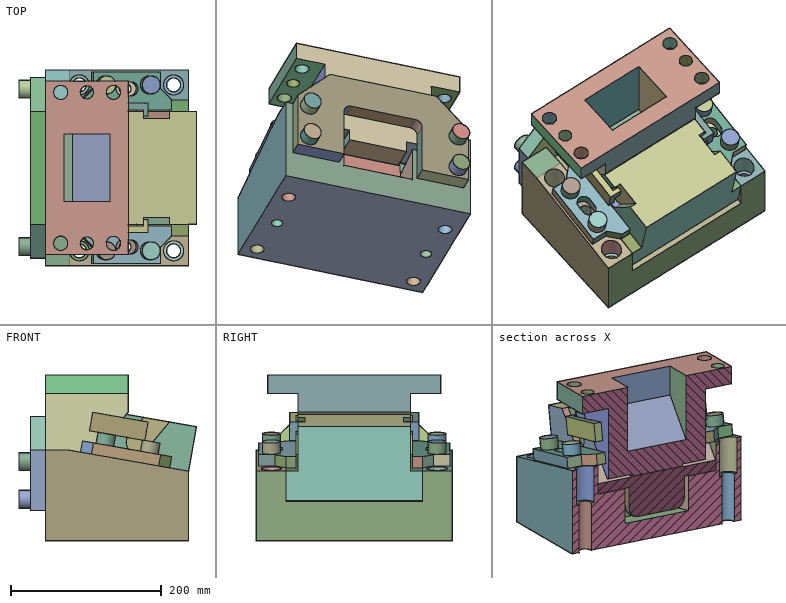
import cadquery as cq
import math


SLOPE = math.radians(10)
SLANT = math.radians(40)
CLEAR = 26.0

BASE_LENGTH = 190.0
BASE_WIDTH = 260.0
BASE_HEIGHT = 120.0
DECK_START = 32.0
GUIDE_WIDTH = 149.8
GROOVE_DEPTH = 39.5
WELL_WIDTH = 96.7
WELL_DEPTH = 88.0
WELL_END = 65.0

MOUNT_X = 45.0
MOUNT_PITCH = 125.0
MOUNT_Y = 110.0
MOUNT_RADIUS = 9.0
MOUNT_HEAD_RADIUS = 13.3
MOUNT_HEAD_SEAT_Z = 67.5

PLATE_THICKNESS = 20.0
PLATE_WIDTH = 240.2
PLATE_BOTTOM = 40.0
PLATE_TOP = 165.0
WINDOW_WIDTH = 109.7
WINDOW_FILLET = 10.1
BOLT_RADIUS = 12.0
BOLT_LENGTH = 15.0
BOLT_Y = 104.5
BOLT_HEIGHTS = (55.0, 105.0)

CLAMP_START = 14.8
CLAMP_LENGTH = 120.0
CLAMP_THICKNESS = 15.0
CLAMP_INNER_Y = 77.0
CLAMP_OUTER_Y = 127.0
CLAMP_CHAMFER = 14.8
CLAMP_CHAMFER_Y = 90.2
PIN_RADIUS = 12.0
PIN_HEIGHT = 15.0
PIN_PITCH = 59.8
PIN_Y = 110.0
CLAMP_HOLE_RADIUS = 9.4
CLAMP_HOLE_Y = 104.8
CLAMP_HOLE_LENGTH = 29.5
CLAMP_BORE_RADIUS = 7.5

CARRIER_LENGTH = 110.0
CARRIER_TOP = 220.0
CARRIER_SLANT_TOP = 170.8
CARRIER_BOTTOM = 95.7
HEAD_WIDTH = 229.8
HEAD_THICKNESS = 25.0
TAB_WIDTH = 80.0
TAB_BOTTOM = 80.0
POCKET_START = 25.0
POCKET_END = 85.8
POCKET_WIDTH = 89.5
POCKET_SLANT_TOP = 179.5
HEAD_HOLE_Y = 100.0
HEAD_HOLES = ((20.3, 9.4), (55.0, 8.5), (90.2, 9.4))

ARM_START = 21.5
ARM_LENGTH = 74.5
ARM_LEVEL = 30.0
ARM_HEIGHT = 25.0
ARM_INNER_Y = CLAMP_INNER_Y
ARM_OUTER_Y = 85.8
ARM_PAD_LENGTH = 25.0
HOOK_INNER_Y = 68.6
HOOK_HEIGHT = 12.5
HOOK_TOP_WIDTH = 6.2

SLIDER_END = (BASE_LENGTH - DECK_START) / math.cos(SLOPE)
SLIDER_HEIGHT = 60.0
FLANGE_WIDTH = 2 * CLAMP_CHAMFER_Y
NOSE_Z = 92.0
TONGUE_TOP = 82.0
TONGUE_WIDTH = 85.8
TONGUE_DEPTH = 82.5
TONGUE_LENGTH = 24.0
TONGUE_FILLET = 15.0
SLOT_WIDTH = 30.2
SLOT_DEPTH = 9.4
SLOT_ROUND_AT = 87.0
SLOT_ROUND_LEVEL = 26.0


def deck_point(along, above):
    """X and Z of a place given along the sloped deck and square above it."""
    x = DECK_START + along * math.cos(SLOPE) + above * math.sin(SLOPE)
    z = BASE_HEIGHT - along * math.sin(SLOPE) + above * math.cos(SLOPE)
    return x, z


def slant_x(z):
    """X of the slanted carrier/slider joint at height z."""
    return CARRIER_LENGTH - (CARRIER_SLANT_TOP - z) * math.tan(SLANT)


def slant_along(along, above, new_above):
    """Follow the slant direction from one level above the deck to another."""
    return along + (new_above - above) * math.tan(SLANT - SLOPE)


def deck_place(x, z):
    """Distance along the deck and level above it of a place given by X and Z."""
    dx = x - DECK_START
    dz = z - BASE_HEIGHT
    along = dx * math.cos(SLOPE) - dz * math.sin(SLOPE)
    above = dx * math.sin(SLOPE) + dz * math.cos(SLOPE)
    return along, above


def slant_start(above):
    """Distance along the deck of the slanted joint at a level above the deck."""
    along, known_level = deck_place(CARRIER_LENGTH, CARRIER_SLANT_TOP)
    return slant_along(along, known_level, above)


def side_prism(points, y_from, y_to):
    """A prism with an XZ outline, between two Y values."""
    return cq.Workplane("XZ", origin=(0, y_from, 0)).polyline(points).close().extrude(y_from - y_to)


def centred_prism(points, width):
    return side_prism(points, -width / 2, width / 2)


def deck_box(start, end, low, high, y_from, y_to):
    """A block square to the deck."""
    corners = ((start, low), (end, low), (end, high), (start, high))
    return side_prism([deck_point(*corner) for corner in corners], y_from, y_to)


def deck_plane(above):
    """A plane parallel to the deck: local X along it, local Y across."""
    x, z = deck_point(0, above)
    return cq.Plane(origin=(x, 0, z), xDir=(math.cos(SLOPE), 0, -math.sin(SLOPE)),
                    normal=(math.sin(SLOPE), 0, math.cos(SLOPE)))


def both_sides(shape):
    return shape.union(shape.mirror("XZ"))



def make_block():
    deck_end = deck_point(SLIDER_END, 0)
    outline = [(0, 0), (BASE_LENGTH, 0), deck_end, (DECK_START, BASE_HEIGHT), (0, BASE_HEIGHT)]
    block = centred_prism(outline, BASE_WIDTH)
    front = -DECK_START - CLEAR
    rear = SLIDER_END + CLEAR
    half_flange = FLANGE_WIDTH / 2
    half_well = WELL_WIDTH / 2
    block = block.cut(deck_box(front, rear, -GROOVE_DEPTH, CLEAR, -half_flange, half_flange))
    return block.cut(deck_box(front, WELL_END, -WELL_DEPTH, 0, -half_well, half_well))


def make_mounting_holes():
    places = [(x, y) for x in (MOUNT_X, MOUNT_X + MOUNT_PITCH) for y in (-MOUNT_Y, MOUNT_Y)]
    bores = cq.Workplane("XY").pushPoints(places).circle(MOUNT_RADIUS).extrude(BASE_HEIGHT)
    heads = (
        cq.Workplane("XY", origin=(0, 0, MOUNT_HEAD_SEAT_Z))
        .pushPoints(places)
        .circle(MOUNT_HEAD_RADIUS)
        .extrude(BASE_HEIGHT - MOUNT_HEAD_SEAT_Z)
    )
    return bores.union(heads)


def make_front_plate():
    half = PLATE_WIDTH / 2
    top_half = GUIDE_WIDTH / 2
    outline = [
        (-half, PLATE_BOTTOM), (half, PLATE_BOTTOM), (half, BASE_HEIGHT),
        (top_half, PLATE_TOP), (-top_half, PLATE_TOP), (-half, BASE_HEIGHT),
    ]
    front = cq.Workplane("YZ", origin=(-PLATE_THICKNESS, 0, 0))
    plate = front.polyline(outline).close().extrude(PLATE_THICKNESS)
    window = (
        front.center(0, BASE_HEIGHT / 2)
        .rect(WINDOW_WIDTH, BASE_HEIGHT)
        .extrude(PLATE_THICKNESS)
        .edges("|X and >Z")
        .fillet(WINDOW_FILLET)
    )
    places = [(y, z) for y in (-BOLT_Y, BOLT_Y) for z in BOLT_HEIGHTS]
    bolts = front.pushPoints(places).circle(BOLT_RADIUS).extrude(-BOLT_LENGTH)
    return plate.cut(window).union(bolts)


def make_clamp():
    """The clamp on the +Y side with its two pins."""
    end = CLAMP_START + CLAMP_LENGTH
    chamfer_end_y = CLAMP_CHAMFER_Y + CLAMP_CHAMFER
    outline = [
        (CLAMP_START, CLAMP_INNER_Y), (end, CLAMP_INNER_Y), (end, CLAMP_CHAMFER_Y),
        (end - CLAMP_CHAMFER, chamfer_end_y), (end - CLAMP_CHAMFER, CLAMP_OUTER_Y),
        (CLAMP_START + CLAMP_CHAMFER, CLAMP_OUTER_Y),
        (CLAMP_START + CLAMP_CHAMFER, chamfer_end_y), (CLAMP_START, CLAMP_CHAMFER_Y),
    ]
    plate = cq.Workplane(deck_plane(0)).polyline(outline).close().extrude(CLAMP_THICKNESS)
    middle = CLAMP_START + CLAMP_LENGTH / 2
    places = [(middle + side * PIN_PITCH / 2, PIN_Y) for side in (-1, 1)]
    pins = (
        cq.Workplane(deck_plane(CLAMP_THICKNESS)).pushPoints(places).circle(PIN_RADIUS).extrude(PIN_HEIGHT)
    )
    return plate.union(pins)


def make_clamp_hole():
    """The +Y clamp's long hole, square to the deck, above a vertical bore through the base."""
    middle = CLAMP_START + CLAMP_LENGTH / 2
    hole = (
        cq.Workplane(deck_plane(0))
        .center(middle, CLAMP_HOLE_Y)
        .slot2D(CLAMP_HOLE_LENGTH, 2 * CLAMP_HOLE_RADIUS)
        .extrude(CLAMP_THICKNESS)
    )
    x = deck_point(middle, 0)[0]
    bore = cq.Workplane("XY").center(x, CLAMP_HOLE_Y).circle(CLAMP_BORE_RADIUS).extrude(BASE_HEIGHT)
    return hole.union(bore)


def make_base():
    base = make_block().union(make_front_plate()).union(both_sides(make_clamp()))
    return base.cut(make_mounting_holes()).cut(both_sides(make_clamp_hole()))



def make_carrier_pocket():
    floor_x = POCKET_END - (POCKET_SLANT_TOP - BASE_HEIGHT) * math.tan(SLANT)
    outline = [
        (POCKET_START, BASE_HEIGHT), (floor_x, BASE_HEIGHT), (POCKET_END, POCKET_SLANT_TOP),
        (POCKET_END, CARRIER_TOP), (POCKET_START, CARRIER_TOP),
    ]
    return centred_prism(outline, POCKET_WIDTH)


def make_arm():
    """The +Y arm, parallel to the deck, with a pad to the carrier and a hook into the slider."""
    end = ARM_START + ARM_LENGTH
    top = ARM_LEVEL + ARM_HEIGHT
    side = GUIDE_WIDTH / 2
    arm = deck_box(ARM_START, end, ARM_LEVEL, top, ARM_INNER_Y, ARM_OUTER_Y)
    pad = deck_box(ARM_START, ARM_START + ARM_PAD_LENGTH, ARM_LEVEL, top, side, ARM_INNER_Y)
    low = top - HOOK_HEIGHT
    hook_top = end - HOOK_TOP_WIDTH
    hook_low = slant_along(hook_top, top, low)
    outline = [(hook_low, low), (end, low), (end, top), (hook_top, top)]
    hook = side_prism([deck_point(*point) for point in outline], HOOK_INNER_Y, ARM_INNER_Y)
    return arm.union(pad).union(hook)


def make_carrier():
    head_bottom = CARRIER_TOP - HEAD_THICKNESS
    outline = [
        (0, CARRIER_BOTTOM), (slant_x(CARRIER_BOTTOM), CARRIER_BOTTOM),
        (CARRIER_LENGTH, CARRIER_SLANT_TOP), (CARRIER_LENGTH, head_bottom), (0, head_bottom),
    ]
    neck = centred_prism(outline, GUIDE_WIDTH)
    tab_outline = [
        (0, TAB_BOTTOM), (slant_x(TAB_BOTTOM), TAB_BOTTOM),
        (slant_x(CARRIER_BOTTOM), CARRIER_BOTTOM), (0, CARRIER_BOTTOM),
    ]
    tab = centred_prism(tab_outline, TAB_WIDTH)
    head = (
        cq.Workplane("XY", origin=(CARRIER_LENGTH / 2, 0, head_bottom))
        .rect(CARRIER_LENGTH, HEAD_WIDTH)
        .extrude(HEAD_THICKNESS)
    )
    carrier = neck.union(tab).union(head).cut(make_carrier_pocket())
    for x, radius in HEAD_HOLES:
        places = [(x, -HEAD_HOLE_Y), (x, HEAD_HOLE_Y)]
        holes = cq.Workplane("XY", origin=(0, 0, head_bottom)).pushPoints(places).circle(radius)
        carrier = carrier.cut(holes.extrude(HEAD_THICKNESS))
    return carrier.union(both_sides(make_arm()))



def make_tongue():
    """The rounded tongue under the slider, starting below the lower end of the slanted face."""
    start, level = deck_place(slant_x(TONGUE_TOP), TONGUE_TOP)
    end = start + TONGUE_LENGTH
    nose_x = slant_x(NOSE_Z)
    corners = [(start, -TONGUE_DEPTH), (end, -TONGUE_DEPTH), (end, level)]
    outline = [deck_point(*corner) for corner in corners]
    outline += [(nose_x, NOSE_Z), (slant_x(TONGUE_TOP), TONGUE_TOP)]
    deck = deck_plane(0)
    bottom_face = cq.selectors.DirectionMinMaxSelector(deck.zDir, False)
    lengthwise = cq.selectors.ParallelDirSelector(deck.xDir)
    return centred_prism(outline, TONGUE_WIDTH).faces(bottom_face).edges(lengthwise).fillet(TONGUE_FILLET)


def make_hook_slot():
    """The slanted, round-ended slot in the +Y side that the arm's hook works in."""
    level = SLIDER_HEIGHT
    half = SLOT_WIDTH / 2 / math.cos(SLANT - SLOPE)
    top_middle = slant_along(SLOT_ROUND_AT, SLOT_ROUND_LEVEL, level)
    across_x = SLOT_WIDTH / 2 * math.cos(SLANT)
    across_z = SLOT_WIDTH / 2 * math.sin(SLANT)
    x, z = deck_point(SLOT_ROUND_AT, SLOT_ROUND_LEVEL)
    outline = [
        (x - across_x, z + across_z), (x + across_x, z - across_z),
        deck_point(top_middle + half, level), deck_point(top_middle - half, level),
    ]
    side = GUIDE_WIDTH / 2
    slot = side_prism(outline, side - SLOT_DEPTH, side)
    round_end = cq.Workplane("XZ", origin=(x, side, z)).circle(SLOT_WIDTH / 2).extrude(SLOT_DEPTH)
    return slot.union(round_end)


def make_slider():
    nose_x = slant_x(NOSE_Z)
    floor_x, floor_z = deck_point(0, -GROOVE_DEPTH)
    floor_start = (nose_x, floor_z - (nose_x - floor_x) * math.tan(SLOPE))
    lower_outline = [
        (nose_x, NOSE_Z), floor_start, deck_point(SLIDER_END, -GROOVE_DEPTH),
        deck_point(SLIDER_END, 0), deck_point(slant_start(0), 0),
    ]
    upper_outline = [
        deck_point(slant_start(0), 0), deck_point(SLIDER_END, 0),
        deck_point(SLIDER_END, SLIDER_HEIGHT), deck_point(slant_start(SLIDER_HEIGHT), SLIDER_HEIGHT),
    ]
    lower = centred_prism(lower_outline, FLANGE_WIDTH)
    upper = centred_prism(upper_outline, GUIDE_WIDTH)
    return lower.union(upper).union(make_tongue()).cut(both_sides(make_hook_slot()))


base = make_base()
carrier = make_carrier()
slider = make_slider()

result = cq.Compound.makeCompound([base.solids().val(), carrier.solids().val(), slider.solids().val()])